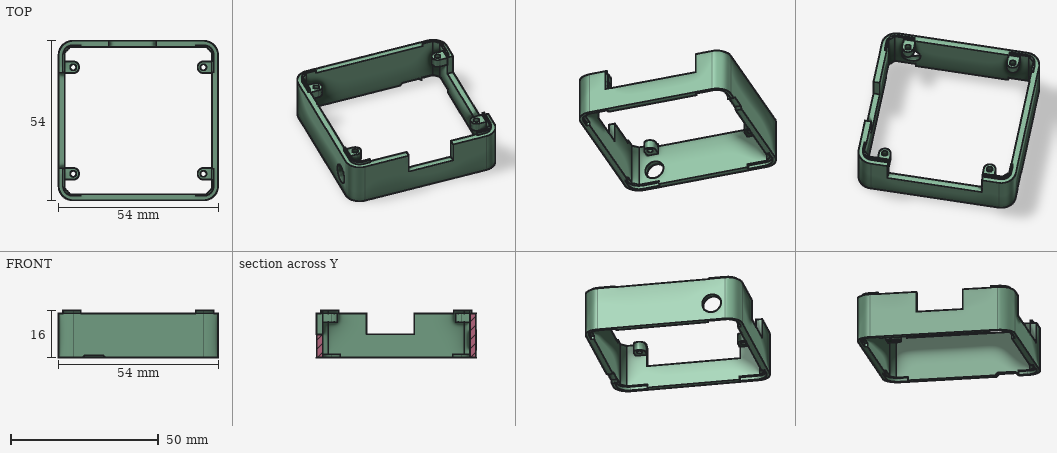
import cadquery as cq

side = 54.0
frame_height = 15.0
corner_radius = 5.0
wall = 2.15
inner_chamfer = 1.85

lip_height = 1.0
lip_inset = 1.5
lip_end_x = 7.6
lip_end_y = 10.7
recess_depth = 1.2
recess_clearance = 0.4

boss_radius = 2.0
boss_height = 3.0
boss_x = 22.0
boss_y = 18.0
screw_hole_diameter = 2.0

left_opening_width = 32.4
left_opening_sill = 7.9
back_opening_left = -10.0
back_opening_right = 6.0
back_opening_sill = 8.0
cable_hole_diameter = 6.5
cable_hole_y = 17.5
cable_hole_z = 6.0
front_notch_center_x = -15.0
front_notch_bottom_width = 7.8
front_notch_depth = 0.9

half_side = side / 2
inner_side = side - 2 * wall
CORNER_SIGNS = [(sx, sy) for sx in (-1, 1) for sy in (-1, 1)]


def rounded_block(inset, bottom, height):
    """Square block whose faces and rounded corners sit inside the outer wall by the inset."""
    block_side = side - 2 * inset
    block = cq.Workplane("XY").workplane(offset=bottom).rect(block_side, block_side).extrude(height)
    return block.edges("|Z").fillet(corner_radius - inset)


def bore(bottom, height):
    """Chamfered square opening inside the frame walls."""
    block = cq.Workplane("XY").workplane(offset=bottom).rect(inner_side, inner_side).extrude(height)
    return block.edges("|Z").chamfer(inner_chamfer)


def box_between(low, high):
    """Box with its edges along the axes, given by two opposite corners."""
    size = [b - a for a, b in zip(low, high)]
    return cq.Workplane("XY").box(*size, centered=False).translate(low)


def corner_blocks(reach_x, reach_y, bottom, height):
    """Four blocks, each covering one frame corner as far as the reach along both walls."""
    blocks = cq.Workplane("XY")
    for sx, sy in CORNER_SIGNS:
        center = (sx * (half_side - reach_x / 2), sy * (half_side - reach_y / 2), bottom)
        block = cq.Workplane("XY").box(reach_x, reach_y, height, centered=(True, True, False))
        blocks = blocks.add(block.translate(center))
    return blocks.combine()


def corner_lips():
    """Thin raised walls at the four corners, flush with the inner wall faces."""
    ring = rounded_block(lip_inset, frame_height, lip_height).cut(bore(frame_height, lip_height))
    return ring.intersect(corner_blocks(lip_end_x, lip_end_y, frame_height, lip_height))


def corner_recesses():
    """Material to clear under each corner, so that the lips of a lower frame fit in."""
    block = rounded_block(lip_inset - recess_clearance, 0, recess_depth)
    reach_x = lip_end_x + recess_clearance
    reach_y = lip_end_y + recess_clearance
    return block.intersect(corner_blocks(reach_x, reach_y, 0, recess_depth))


def add_bosses(body):
    bottom = frame_height - boss_height
    web_length = half_side - wall / 2 - boss_x
    for sx, sy in CORNER_SIGNS:
        tip = cq.Workplane("XY", origin=(sx * boss_x, sy * boss_y, bottom))
        web_center_x = sx * (boss_x + web_length / 2)
        web = cq.Workplane("XY").box(web_length, 2 * boss_radius, boss_height, centered=(True, True, False))
        body = body.union(tip.circle(boss_radius).extrude(boss_height))
        body = body.union(web.translate((web_center_x, sy * boss_y, bottom)))
        body = body.cut(tip.circle(screw_hole_diameter / 2).extrude(boss_height))
    return body


def left_opening():
    half_width = left_opening_width / 2
    return box_between(
        (-half_side, -half_width, left_opening_sill),
        (-half_side + wall, half_width, frame_height),
    )


def back_opening():
    return box_between(
        (back_opening_left, half_side - wall, back_opening_sill),
        (back_opening_right, half_side, frame_height),
    )


def cable_hole():
    start = cq.Workplane("YZ").workplane(offset=half_side - wall)
    return start.center(cable_hole_y, cable_hole_z).circle(cable_hole_diameter / 2).extrude(wall)


def front_notch():
    """Shallow notch with 45 degree ends through the bottom edge of the front wall."""
    half_bottom = front_notch_bottom_width / 2
    half_top = half_bottom - front_notch_depth
    outline = [
        (front_notch_center_x - half_bottom, 0),
        (front_notch_center_x + half_bottom, 0),
        (front_notch_center_x + half_top, front_notch_depth),
        (front_notch_center_x - half_top, front_notch_depth),
    ]
    start = cq.Workplane("XZ").workplane(offset=half_side - wall)
    return start.polyline(outline).close().extrude(wall)


frame = rounded_block(0, 0, frame_height).cut(bore(0, frame_height))
frame = frame.union(corner_lips())
frame = add_bosses(frame)
for cutter in (corner_recesses(), left_opening(), back_opening(), cable_hole(), front_notch()):
    frame = frame.cut(cutter)

result = frame